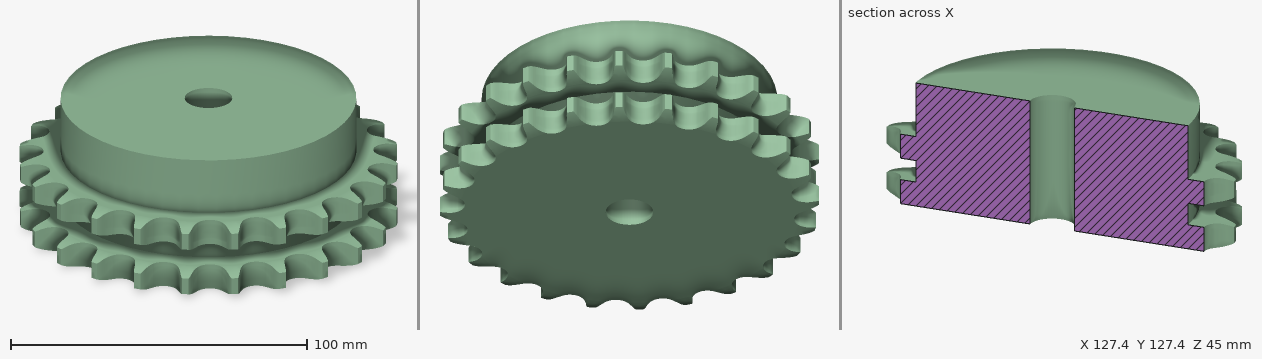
import cadquery as cq
import math

tooth_count = 24
tooth_angle = 360 / tooth_count
pitch_diameter = 121.6
pitch_radius = pitch_diameter / 2
tip_radius = 64.1
seat_radius = 5.1
flank_radius = 13.3
straight_length = 1.3
topping_radius = 8.3
seat_turn = 90 - (35 + 60 / tooth_count)
flank_turn = 18 - 56 / tooth_count
topping_turn = 25

row_thickness = 8.9
row_spacing = 16.6
row_count = 2
relief_depth = 1.5
relief_radius = 15.9

hub_diameter = 100.0
bore_diameter = 16.0
total_height = 45.0


def rounded_disc():
    """One row blank: a disc whose rim curves inward on both faces."""
    relief_run = math.sqrt(relief_radius**2 - (relief_radius - relief_depth) ** 2)
    face_radius = tip_radius - relief_run
    half_angle = math.acos(1 - relief_depth / relief_radius) / 2
    mid_run = relief_radius * math.sin(half_angle)
    mid_drop = relief_radius * (1 - math.cos(half_angle))
    return (
        cq.Workplane("XZ")
        .lineTo(face_radius, 0)
        .threePointArc((face_radius + mid_run, mid_drop), (tip_radius, relief_depth))
        .lineTo(tip_radius, row_thickness - relief_depth)
        .threePointArc(
            (face_radius + mid_run, row_thickness - mid_drop),
            (face_radius, row_thickness),
        )
        .lineTo(0, row_thickness)
        .close()
        .revolve(360, (0, 0, 0), (0, 1, 0))
    )


def step(point, heading, distance):
    """Point reached from another one by moving along a heading in degrees."""
    angle = math.radians(heading)
    return point[0] + distance * math.cos(angle), point[1] + distance * math.sin(angle)


def arc_points(start, heading, radius, turn):
    """Middle and end of an arc that leaves along a heading and turns left (+) or right (-)."""
    half_chord_angle = math.radians(abs(turn) / 2)
    mid = step(start, heading + turn / 4, 2 * radius * math.sin(half_chord_angle / 2))
    end = step(start, heading + turn / 2, 2 * radius * math.sin(half_chord_angle))
    return mid, end


def tooth_gap():
    """Cutter for the gap on the +Y axis, outlined by one half and its mirror image."""
    root = (0, pitch_radius - seat_radius)
    seat_mid, seat_end = arc_points(root, 0, seat_radius, seat_turn)
    flank_mid, flank_end = arc_points(seat_end, seat_turn, flank_radius, flank_turn)
    heading = seat_turn + flank_turn
    straight_end = step(flank_end, heading, straight_length)
    top_mid, top_end = arc_points(straight_end, heading, topping_radius, -topping_turn)
    half_gap = (
        cq.Workplane("XY")
        .moveTo(*root)
        .threePointArc(seat_mid, seat_end)
        .threePointArc(flank_mid, flank_end)
        .lineTo(*straight_end)
        .threePointArc(top_mid, top_end)
        .lineTo(0, top_end[1])
        .close()
        .extrude(row_thickness)
    )
    return half_gap.union(half_gap.mirror("YZ"))


def tooth_row():
    """One sprocket row: the rounded disc with all its tooth gaps cut away."""
    row = rounded_disc()
    gap = tooth_gap()
    for index in range(tooth_count):
        row = row.cut(gap.rotate((0, 0, 0), (0, 0, 1), index * tooth_angle))
    return row


hub = cq.Workplane("XY").circle(hub_diameter / 2).extrude(total_height)
row = tooth_row()
sprocket = hub
for index in range(row_count):
    sprocket = sprocket.union(row.translate((0, 0, index * row_spacing)))

bore = cq.Workplane("XY").circle(bore_diameter / 2).extrude(total_height)
result = sprocket.cut(bore)